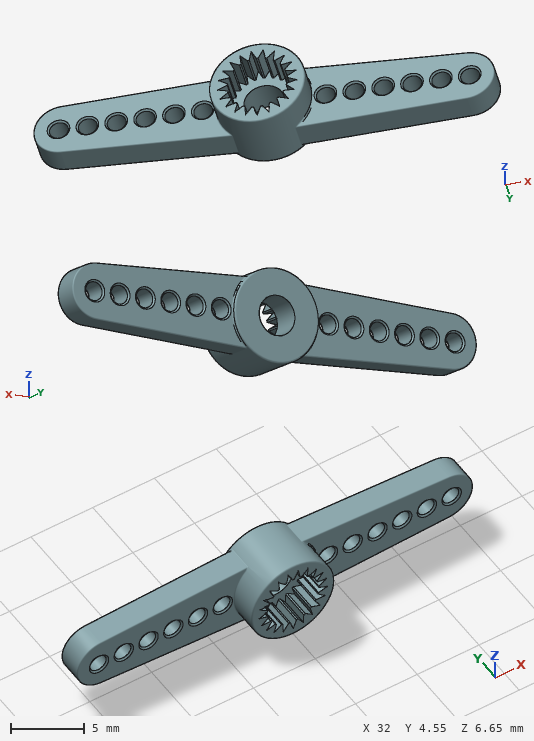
import cadquery as cq
import math

hub_length = 4.55
hub_diameter = 6.65
bore_diameter = 2.8
hub_rim_fillet = 0.13

tooth_count = 21
spline_root_radius = 2.75
spline_tip_radius = 2.08
tooth_land_width = 0.13
spline_depth = 2.25

span = 32.0
arm_thickness = 2.0
arm_back_gap = 0.3
arm_end_radius = 2.0
arm_mid_half_height = 2.62
arm_edge_fillet = 0.1
junction_fillet = 0.1

holes_per_arm = 6
first_hole = 4.25
last_hole = 14.27
hole_diameter = 1.3
hole_chamfer = 0.13

hub_front = -hub_length / 2
hub_back = hub_length / 2
arm_back = hub_back - arm_back_gap
arm_front = arm_back - arm_thickness


def extrude_back(sketch, length):
    """Extrude an outline from an XZ plane toward +Y."""
    return sketch.extrude(-length)


def xz_plane(y):
    return cq.Workplane("XZ", origin=(0, y, 0))


def make_hub():
    hub = extrude_back(xz_plane(hub_front).circle(hub_diameter / 2), hub_length)
    return hub.faces("<Y or >Y").edges().fillet(hub_rim_fillet)


def make_arms():
    end_center = span / 2 - arm_end_radius
    center_to_peak = math.hypot(arm_mid_half_height, end_center)
    taper = math.acos(arm_end_radius / center_to_peak) - math.atan2(end_center, arm_mid_half_height)
    tangent_x = end_center + arm_end_radius * math.sin(taper)
    tangent_z = arm_end_radius * math.cos(taper)
    outline = (
        xz_plane(arm_front)
        .moveTo(0, arm_mid_half_height)
        .lineTo(tangent_x, tangent_z)
        .threePointArc((span / 2, 0), (tangent_x, -tangent_z))
        .lineTo(0, -arm_mid_half_height)
        .lineTo(-tangent_x, -tangent_z)
        .threePointArc((-span / 2, 0), (-tangent_x, tangent_z))
        .close()
    )
    arms = extrude_back(outline, arm_thickness)
    return arms.faces("<Y or >Y").edges().fillet(arm_edge_fillet)


def fillet_junction(body):
    """Round the inside corners where the arms meet the hub."""
    reach = hub_diameter / 2 + junction_fillet / 2
    inside = junction_fillet / 2
    near_hub = cq.selectors.BoxSelector(
        (-reach, arm_front - inside, -reach),
        (reach, arm_back + inside, reach),
        boundingbox=True,
    )
    return body.edges(near_hub).fillet(junction_fillet)


def make_socket():
    """Spline cutter with one tooth space pointing straight down."""
    pitch_angle = 2 * math.pi / tooth_count
    half_land_angle = tooth_land_width / 2 / spline_tip_radius

    def polar(radius, angle):
        return (radius * math.cos(angle), radius * math.sin(angle))

    points = []
    for i in range(tooth_count):
        root_angle = -math.pi / 2 + i * pitch_angle
        land_middle = root_angle + pitch_angle / 2
        points.append(polar(spline_root_radius, root_angle))
        points.append(polar(spline_tip_radius, land_middle - half_land_angle))
        points.append(polar(spline_tip_radius, land_middle + half_land_angle))
    return extrude_back(xz_plane(hub_front).polyline(points).close(), spline_depth)


def make_hole_cutter():
    """Straight hole through an arm, chamfered at both faces."""
    radius = hole_diameter / 2
    rim = radius + hole_chamfer
    return (
        cq.Workplane("XY")
        .moveTo(0, arm_front)
        .lineTo(rim, arm_front)
        .lineTo(radius, arm_front + hole_chamfer)
        .lineTo(radius, arm_back - hole_chamfer)
        .lineTo(rim, arm_back)
        .lineTo(0, arm_back)
        .close()
        .revolve(360, (0, 0, 0), (0, 1, 0))
    )


bore = extrude_back(xz_plane(hub_front).circle(bore_diameter / 2), hub_length)
result = fillet_junction(make_hub().union(make_arms()))
result = result.cut(make_socket()).cut(bore)

hole_cutter = make_hole_cutter()
hole_pitch = (last_hole - first_hole) / (holes_per_arm - 1)
for side in (-1, 1):
    for i in range(holes_per_arm):
        x = side * (first_hole + i * hole_pitch)
        result = result.cut(hole_cutter.translate((x, 0, 0)))